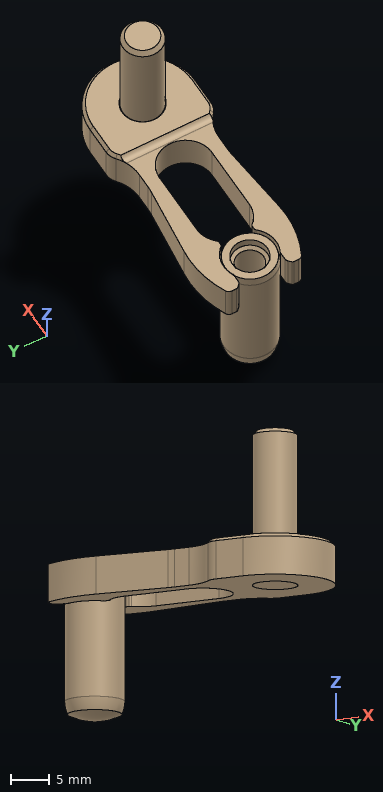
import cadquery as cq
import math


arm_thickness = 5.1
head_step = 0.5
head_thickness = arm_thickness + head_step
step_cove_radius = 1.7
step_cove_start_x = -7.1

head_radius = 8.0
lever_tip_x = -32.0
neck_half_width = 6.1
neck_head_end_x = -9.55
neck_arm_end_x = -11.8
shoulder_cove_radius = 6.0
shoulder_round_radius = 2.5
taper_angle = 6.2
taper_blend_radius = 9.2
taper_end_x = -23.3
jaw_flank_radius = 15.0
jaw_outer_fillet = 0.8

dowel_x = -28.0
dowel_radius = 4.0
mouth_half_width = 3.55
mouth_chamfer = 0.7
mouth_tip_fillet = 0.4
mouth_throat_fillet = 0.7
slot_radius = 4.0
slot_far_x = -21.0
slot_near_x = -11.25
channel_half_width = 2.5
channel_fillet = 0.4

pin_radius = 3.0
pin_projection = 15.1
pin_chamfer = 0.6
pin_hole_chamfer = 0.1

dowel_recess = 0.5
dowel_length = 20.0
dowel_top_z = arm_thickness - dowel_recess
dowel_lead_height = 1.05
dowel_lead_inset = 0.25
dowel_tip_height = 1.7
dowel_tip_radius = 3.6
dowel_tip_bulge = 0.1
dome_radius = 2 * dowel_radius
counterbore_radius = 2.65
counterbore_depth = 1.2
bore_radius = 2.1
bore_depth = 10.0
drill_cone_half_angle = 60.0


def on_circle(center, radius, angle):
    """Point on a circle at an angle in degrees from +X."""
    a = math.radians(angle)
    return (center[0] + radius * math.cos(a), center[1] + radius * math.sin(a))


def lever_half_outline():
    """Closed upper half of the lever outline; all stretches up to the tip are tangent."""
    cove_center = (neck_head_end_x, neck_half_width + shoulder_cove_radius)
    round_center_y = head_radius - shoulder_round_radius
    center_gap = shoulder_cove_radius + shoulder_round_radius
    turn = math.degrees(math.acos((cove_center[1] - round_center_y) / center_gap))
    round_center = (neck_head_end_x + center_gap * math.sin(math.radians(turn)), round_center_y)

    blend_center = (neck_arm_end_x, neck_half_width + taper_blend_radius)
    taper_start = on_circle(blend_center, taper_blend_radius, -90 - taper_angle)
    taper_run = taper_start[0] - taper_end_x
    taper_end = (taper_end_x, taper_start[1] + taper_run * math.tan(math.radians(taper_angle)))
    jaw_start_angle = 90 - taper_angle
    jaw_center = on_circle(taper_end, jaw_flank_radius, jaw_start_angle - 180)
    jaw_end_angle = math.degrees(math.acos((lever_tip_x - jaw_center[0]) / jaw_flank_radius))
    jaw_mid_angle = (jaw_start_angle + jaw_end_angle) / 2

    return (
        cq.Workplane("XY")
        .moveTo(head_radius, 0)
        .threePointArc(on_circle((0, 0), head_radius, 45), (0, head_radius))
        .lineTo(round_center[0], head_radius)
        .threePointArc(
            on_circle(round_center, shoulder_round_radius, 90 + turn / 2),
            on_circle(round_center, shoulder_round_radius, 90 + turn),
        )
        .threePointArc(
            on_circle(cove_center, shoulder_cove_radius, -90 + turn / 2),
            (neck_head_end_x, neck_half_width),
        )
        .lineTo(neck_arm_end_x, neck_half_width)
        .threePointArc(
            on_circle(blend_center, taper_blend_radius, -90 - taper_angle / 2),
            taper_start,
        )
        .lineTo(*taper_end)
        .threePointArc(
            on_circle(jaw_center, jaw_flank_radius, jaw_mid_angle),
            on_circle(jaw_center, jaw_flank_radius, jaw_end_angle),
        )
        .lineTo(lever_tip_x, 0)
        .close()
    )


def lever_blank():
    """Full outline at head thickness, with the rim chamfered all round."""
    half = lever_half_outline().extrude(head_thickness)
    blank = half.union(half.mirror("XZ")).clean()
    return blank.faces(">Z").chamfer(head_step)


def arm_clearance():
    """Material above the arm, ending in a concave cove against the head."""
    cove_center_z = arm_thickness + step_cove_radius
    cove_angle = math.degrees(math.acos((step_cove_radius - head_step) / step_cove_radius))
    cove_center = (step_cove_start_x, cove_center_z)
    return (
        cq.Workplane("XZ")
        .moveTo(lever_tip_x, arm_thickness)
        .lineTo(step_cove_start_x, arm_thickness)
        .threePointArc(
            on_circle(cove_center, step_cove_radius, -90 + cove_angle / 2),
            on_circle(cove_center, step_cove_radius, -90 + cove_angle),
        )
        .lineTo(lever_tip_x, head_thickness)
        .close()
        .extrude(head_radius, both=True)
    )


def mouth_cutter():
    """Open end between the jaws, flaring at the tip."""
    tip_half_width = mouth_half_width + mouth_chamfer
    throat_x = lever_tip_x + mouth_chamfer
    return (
        cq.Workplane("XY")
        .polyline(
            [
                (lever_tip_x, tip_half_width),
                (throat_x, mouth_half_width),
                (dowel_x, mouth_half_width),
                (dowel_x, -mouth_half_width),
                (throat_x, -mouth_half_width),
                (lever_tip_x, -tip_half_width),
            ]
        )
        .close()
        .extrude(head_thickness)
    )


def fillet_edge_pair(lever, x, half_width, radius):
    """Round the two vertical edges at (x, +half_width) and (x, -half_width)."""
    for y in (half_width, -half_width):
        edge_at_point = cq.selectors.NearestToPointSelector((x, y, arm_thickness / 2))
        lever = lever.edges("|Z").edges(edge_at_point).fillet(radius)
    return lever


def opening(x_start, x_end, half_width):
    """Straight-sided cutter through the lever between two X positions."""
    return cq.Workplane("XY").box(
        x_end - x_start, 2 * half_width, head_thickness, centered=(False, True, False)
    ).translate((x_start, 0, 0))


def round_cutter(x, radius):
    return cq.Workplane("XY").center(x, 0).circle(radius).extrude(head_thickness)


def make_lever():
    lever = lever_blank().cut(arm_clearance())

    lever = lever.cut(mouth_cutter())
    lever = lever.cut(round_cutter(dowel_x, dowel_radius))
    lever = lever.cut(opening(dowel_x, slot_far_x, channel_half_width))
    lever = lever.cut(opening(slot_far_x, slot_near_x, slot_radius))
    for slot_end_x in (slot_far_x, slot_near_x):
        lever = lever.cut(round_cutter(slot_end_x, slot_radius))

    lever = lever.faces("<X").edges("|Z").edges(">Y or <Y").fillet(jaw_outer_fillet)
    lever = fillet_edge_pair(lever, lever_tip_x, mouth_half_width + mouth_chamfer, mouth_tip_fillet)
    lever = fillet_edge_pair(lever, lever_tip_x + mouth_chamfer, mouth_half_width, mouth_throat_fillet)

    bore_corner_x = dowel_x + math.sqrt(dowel_radius**2 - channel_half_width**2)
    slot_corner_x = slot_far_x - math.sqrt(slot_radius**2 - channel_half_width**2)
    for corner_x in (bore_corner_x, slot_corner_x):
        lever = fillet_edge_pair(lever, corner_x, channel_half_width, channel_fillet)

    lever = lever.cut(round_cutter(0, pin_radius))
    hole_rim = cq.selectors.NearestToPointSelector((0, 0, head_thickness))
    return lever.faces(">Z").edges("%CIRCLE").edges(hole_rim).chamfer(pin_hole_chamfer)


def make_crank_pin():
    """Pin through the whole head, flush with the underside."""
    pin = cq.Workplane("XY").circle(pin_radius).extrude(head_thickness + pin_projection)
    return pin.faces(">Z").chamfer(pin_chamfer)


def make_dowel():
    """Revolved dowel: domed tip below, conical lead and counterbored blind hole on top."""
    apex_z = dowel_top_z - dowel_length
    dome_center = (0, apex_z + dome_radius)
    dome_angle = math.degrees(math.asin(dowel_tip_radius / dome_radius))
    dome_rim = on_circle(dome_center, dome_radius, -90 + dome_angle)
    tip_top_z = dome_rim[1] + dowel_tip_height
    flank_mid = (
        (dowel_radius + dowel_tip_radius) / 2 + dowel_tip_bulge,
        (dome_rim[1] + tip_top_z) / 2,
    )
    counterbore_z = dowel_top_z - counterbore_depth
    bore_end_z = dowel_top_z - bore_depth
    drill_slope = 1 / math.tan(math.radians(drill_cone_half_angle))
    floor_drop = (counterbore_radius - bore_radius) * drill_slope
    cone_depth = bore_radius * drill_slope
    profile = (
        cq.Workplane("XZ")
        .moveTo(0, apex_z)
        .threePointArc(on_circle(dome_center, dome_radius, -90 + dome_angle / 2), dome_rim)
        .threePointArc(flank_mid, (dowel_radius, tip_top_z))
        .lineTo(dowel_radius, dowel_top_z - dowel_lead_height)
        .lineTo(dowel_radius - dowel_lead_inset, dowel_top_z)
        .lineTo(counterbore_radius, dowel_top_z)
        .lineTo(counterbore_radius, counterbore_z)
        .lineTo(bore_radius, counterbore_z - floor_drop)
        .lineTo(bore_radius, bore_end_z)
        .lineTo(0, bore_end_z - cone_depth)
        .close()
    )
    return profile.revolve(360, (0, 0, 0), (0, 1, 0)).translate((dowel_x, 0, 0))


lever = make_lever()
crank_pin = make_crank_pin()
dowel = make_dowel()

result = cq.Compound.makeCompound([lever.val(), crank_pin.val(), dowel.val()])